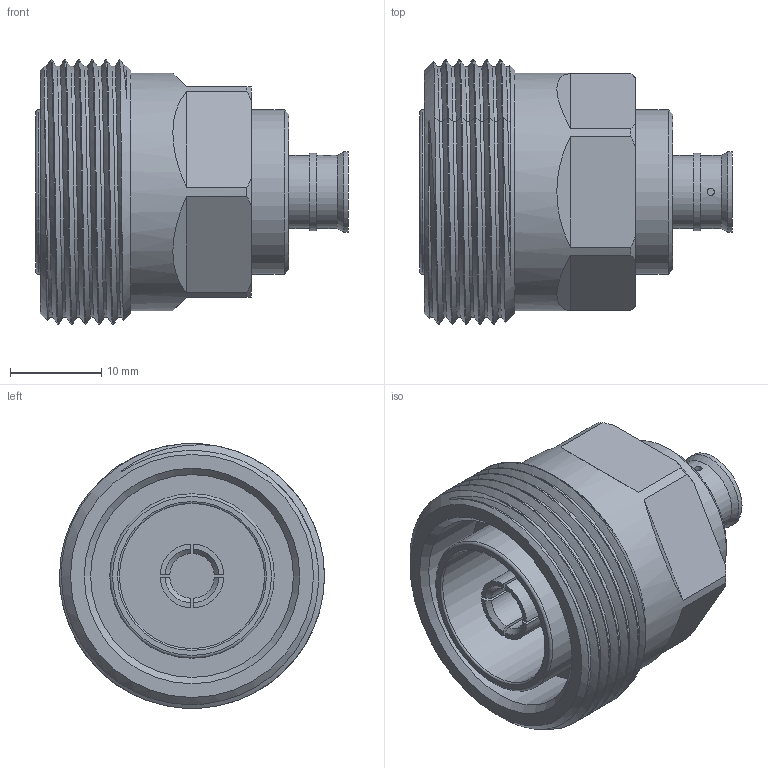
import cadquery as cq
import math

body_front = 0.5
thread_end = 10.4
ramp_start = 15.0
body_end = 23.6
collar_end = 27.7
ring_start = 29.95
ring_end = 30.75
flare_start = 33.0
flare_end = 33.7
tail_end = 34.2

thread_radius = 14.5
thread_depth = 0.75
thread_pitch = 1.5
thread_crest_width = 0.1
thread_root_width = 0.35
thread_start_angle = 56.0
thread_start_x = 0.81
groove_clearance = 0.05
thread_end_chamfer = 1.2
body_radius = 13.0
hex_sides = 6
hex_across_flats = 23.0
body_end_chamfer = 0.5

collar_radius = 9.0
collar_chamfer = 0.5
tail_radius = 4.0
ring_radius = 4.25
flare_radius = 4.4
vent_diameter = 0.8
vent_depth = 1.0
vent_x = 31.85

cavity_radius = 11.1
cavity_mouth_radius = 11.8
cavity_mouth_length = 0.7
cavity_floor = 8.0
sleeve_floor = 10.0
sleeve_outer_radius = 9.0
sleeve_inner_radius = 7.95
sleeve_outer_fillet = 0.3
sleeve_inner_fillet = 0.2
contact_front = 1.77
contact_outer_radius = 3.5
contact_mouth_radius = 2.95
contact_bore_radius = 2.45
contact_mouth_length = 0.5
contact_slot_width = 0.3


def cylinder(start, end, radius):
    return cq.Workplane("YZ").workplane(offset=start).circle(radius).extrude(end - start)


def revolve_profile(points):
    """Revolve (x, radius) points about the connector axis."""
    return cq.Workplane("XY").polyline(points).close().revolve(360, (0, 0, 0), (1, 0, 0))


def thread_groove_turn():
    """One right-hand turn of the thread groove, centred on X = 0 where it starts on the +Y side."""
    root_radius = thread_radius - thread_depth
    outer_radius = thread_radius + groove_clearance
    root_half = thread_root_width / 2
    crest_half = (thread_pitch - thread_crest_width) / 2
    outer_half = crest_half + (crest_half - root_half) * groove_clearance / thread_depth
    path = cq.Wire.makeHelix(thread_pitch, thread_pitch, root_radius)
    turn = (
        cq.Workplane("XZ")
        .polyline([
            (root_radius, -root_half),
            (outer_radius, -outer_half),
            (outer_radius, outer_half),
            (root_radius, root_half),
        ])
        .close()
        .sweep(cq.Workplane(obj=path), isFrenet=True)
    )
    return turn.rotate((0, 0, 0), (0, 1, 0), 90).rotate((0, 0, 0), (1, 0, 0), 90)


def threaded_front():
    """Chamfered ring with the thread groove cut one turn at a time."""
    front = cylinder(body_front, thread_end, thread_radius).faces("<X or >X").chamfer(thread_end_chamfer)
    turn = thread_groove_turn().rotate((0, 0, 0), (1, 0, 0), thread_start_angle)
    turn_count = math.ceil((thread_end - thread_start_x) / thread_pitch)
    for index in range(turn_count):
        front = front.cut(turn.translate((thread_start_x + index * thread_pitch, 0, 0)))
    return front


def hex_body():
    """Round body with six flats behind it, each reached by a 45 degree ramp."""
    body = cylinder(thread_end, body_end, body_radius).faces(">X").chamfer(body_end_chamfer)
    flat = hex_across_flats / 2
    ramp = body_radius - flat
    cutter = (
        cq.Workplane("XZ")
        .polyline([
            (ramp_start, body_radius),
            (ramp_start + ramp, flat),
            (body_end, flat),
            (body_end, body_radius),
        ])
        .close()
        .extrude(body_radius, both=True)
    )
    for side in range(hex_sides):
        body = body.cut(cutter.rotate((0, 0, 0), (1, 0, 0), 360 / hex_sides * side))
    return body


def collar():
    return cylinder(body_end, collar_end, collar_radius).faces(">X").chamfer(collar_chamfer)


def crimp_tail():
    """Stepped tail with a raised ring, a flared end and a small vent hole on top."""
    tail = revolve_profile([
        (collar_end, 0),
        (collar_end, tail_radius),
        (ring_start, tail_radius),
        (ring_start, ring_radius),
        (ring_end, ring_radius),
        (ring_end, tail_radius),
        (flare_start, tail_radius),
        (flare_end, flare_radius),
        (tail_end, flare_radius),
        (tail_end, 0),
    ])
    vent = (
        cq.Workplane("XY")
        .workplane(offset=tail_radius - vent_depth)
        .center(vent_x, 0)
        .circle(vent_diameter / 2)
        .extrude(2 * vent_depth)
    )
    return tail.cut(vent)


def cavity():
    """Cavity around the sleeve, widening to a conical mouth at the body front."""
    return revolve_profile([
        (body_front, 0),
        (body_front, cavity_mouth_radius),
        (body_front + cavity_mouth_length, cavity_radius),
        (cavity_floor, cavity_radius),
        (cavity_floor, 0),
    ])


def sleeve_bore():
    return cylinder(0, sleeve_floor, sleeve_inner_radius)


def sleeve():
    tube = cylinder(0, sleeve_floor, sleeve_outer_radius).cut(sleeve_bore())
    rim_outer = cq.selectors.RadiusNthSelector(-1)
    rim_inner = cq.selectors.RadiusNthSelector(0)
    tube = tube.faces("<X").edges(rim_outer).fillet(sleeve_outer_fillet)
    return tube.faces("<X").edges(rim_inner).fillet(sleeve_inner_fillet)


def centre_contact():
    """Socket with a tapered mouth, split into four fingers by crossed slots."""
    length = sleeve_floor - contact_front
    contact = revolve_profile([
        (contact_front, contact_mouth_radius),
        (contact_front, contact_outer_radius),
        (sleeve_floor, contact_outer_radius),
        (sleeve_floor, contact_bore_radius),
        (contact_front + contact_mouth_length, contact_bore_radius),
    ])
    slot = cq.Workplane("XY").box(length, 2 * contact_outer_radius, contact_slot_width)
    slot = slot.translate((contact_front + length / 2, 0, 0))
    return contact.cut(slot).cut(slot.rotate((0, 0, 0), (1, 0, 0), 90))


result = (
    threaded_front()
    .union(hex_body())
    .union(collar())
    .union(crimp_tail())
    .cut(cavity())
    .cut(sleeve_bore())
    .union(sleeve())
    .union(centre_contact())
)